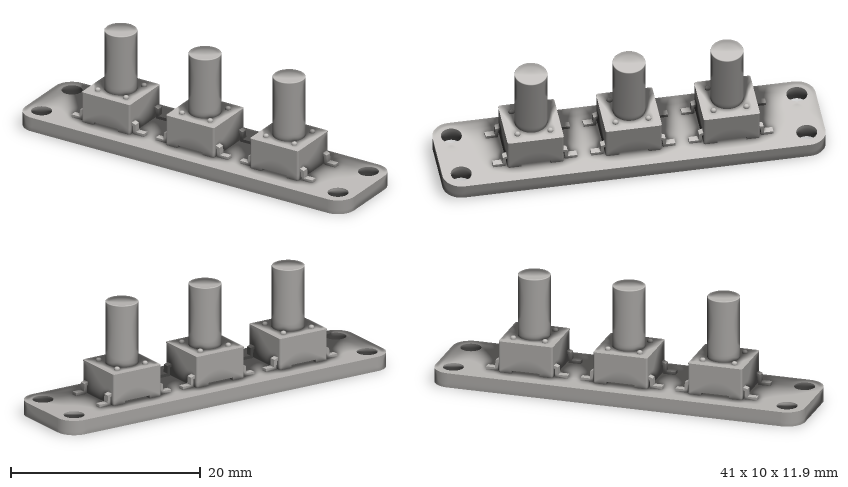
import cadquery as cq

board_length = 41.0
board_width = 10.0
board_thickness = 1.6
corner_radius = 2.0
mounting_hole_diameter = 2.2

overall_height = 11.95
button_count = 3
button_pitch = 10.5
case_side = 6.03
case_height = 3.5
case_corner_radius = 0.2
cover_thickness = 0.12
cover_overhang = 0.02
slot_width = 3.1
slot_depth = 0.33
plunger_diameter = 3.5
plunger_edge_fillet = 0.1

rivet_diameter = 0.6
rivet_height = 0.33
rivet_edge_fillet = 0.25
rivet_offset = 1.75

lead_width = 0.7
lead_thickness = 0.33
lead_span = 9.0
lead_shoulder_span = 6.93
lead_riser_splay = 0.05
lead_center_offset = 2.25
lead_root_height = 1.3
lead_shoulder_height = 1.15

hole_spacing_x = board_length - 2 * corner_radius
hole_spacing_y = board_width - 2 * corner_radius
plunger_length = overall_height - board_thickness - case_height


def make_board():
    """Rounded plate, its top face at board_thickness, with a hole in each corner."""
    plate = cq.Workplane("XY").box(board_length, board_width, board_thickness, centered=(True, True, False))
    return (
        plate.edges("|Z").fillet(corner_radius)
        .faces(">Z").workplane()
        .rect(hole_spacing_x, hole_spacing_y, forConstruction=True).vertices()
        .hole(mounting_hole_diameter)
    )


def make_rounded_block(side, height, bottom_z):
    """Square block centred on the Z axis, with its vertical edges rounded."""
    block = cq.Workplane("XY", origin=(0, 0, bottom_z)).rect(side, side).extrude(height)
    return block.edges("|Z").fillet(case_corner_radius)


def make_case():
    """Switch case standing on Z = 0, with a thin cover and a channel cut through its underside."""
    lower_height = case_height - cover_thickness
    lower_case = make_rounded_block(case_side - 2 * cover_overhang, lower_height, 0)
    cover = make_rounded_block(case_side, cover_thickness, lower_height)
    channel = cq.Workplane("XY").box(slot_width, case_side, slot_depth, centered=(True, True, False))
    return lower_case.cut(channel).union(cover)


def make_plunger():
    """Round push rod on top of the case, with a softened upper edge."""
    return (
        cq.Workplane("XY", origin=(0, 0, case_height))
        .circle(plunger_diameter / 2).extrude(plunger_length)
        .faces(">Z").edges().fillet(plunger_edge_fillet)
    )


def make_rivets():
    """Four domed rivet heads around the plunger."""
    return (
        cq.Workplane("XY", origin=(0, 0, case_height))
        .rect(2 * rivet_offset, 2 * rivet_offset, forConstruction=True).vertices()
        .circle(rivet_diameter / 2).extrude(rivet_height)
        .faces(">Z").edges().fillet(rivet_edge_fillet)
    )


def make_lead():
    """The +X, +Y lead: sloped root out of the case, leaning riser, then a flat foot."""
    root_x = case_side / 2 - cover_overhang
    shoulder_x = lead_shoulder_span / 2
    heel_x = shoulder_x + lead_riser_splay
    tip_x = lead_span / 2
    bend_drop = lead_root_height - lead_shoulder_height
    inner_bend_x = shoulder_x - lead_thickness
    inner_bend_drop = bend_drop * (inner_bend_x - root_x) / (shoulder_x - root_x)
    root_bottom = lead_root_height - lead_thickness
    profile = [
        (root_x, lead_root_height),
        (shoulder_x, lead_shoulder_height),
        (heel_x, lead_thickness),
        (tip_x, lead_thickness),
        (tip_x, 0),
        (heel_x - lead_thickness, 0),
        (inner_bend_x, root_bottom - inner_bend_drop),
        (root_x, root_bottom),
    ]
    return (
        cq.Workplane("XZ", origin=(0, lead_center_offset, 0))
        .polyline(profile).close().extrude(lead_width / 2, both=True)
    )


def make_button():
    """One complete push button standing on Z = 0, centred on the Z axis."""
    button = make_case().union(make_plunger()).union(make_rivets())
    right_back_lead = make_lead()
    right_leads = right_back_lead.union(right_back_lead.mirror("XZ"))
    return button.union(right_leads).union(right_leads.mirror("YZ"))


board = make_board()
button_template = make_button()
buttons = []
for index in range(button_count):
    button_x = (index - (button_count - 1) / 2) * button_pitch
    buttons.append(button_template.translate((button_x, 0, board_thickness)))

result = cq.Compound.makeCompound([board.val(), *[button.val() for button in buttons]])